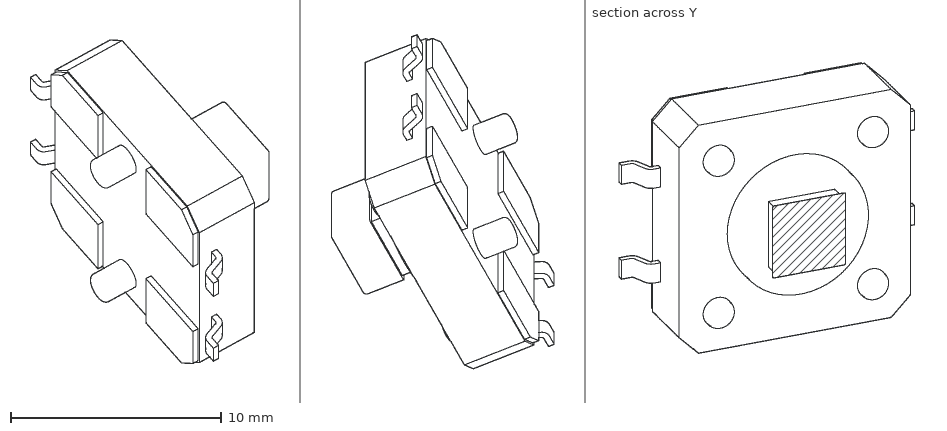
import cadquery as cq
import math


lead_span = 15.2

body_side = 12.0
body_depth = 3.19
body_corner_cut = 1.0

pad_inset = 0.1
pad_width = 3.9
pad_height = 3.4
pad_thickness = 0.3

peg_diameter = 1.5
peg_length = 1.7
peg_offset = 4.4
peg_edge_radius = 0.2

rivet_diameter = 1.5
rivet_height = 0.5
rivet_offset = 4.0
rivet_edge_radius = 0.3

collar_diameter = 7.0
collar_height = 0.8
collar_edge_radius = 0.1
stem_side = 3.44
stem_height = 0.9
cap_side = 3.8
cap_height = 2.1
cap_corner_radius = 0.1
cap_edge_radius = 0.2

lead_width = 1.0
lead_offset = 2.5
lead_thickness = pad_thickness
lead_rise = 1.0
lead_foot = 0.52
lead_inner_radius = 0.1
lead_slope = math.radians(68)

MIRROR_SIGNS = (-1, 1)


def facing_plus_y(y):
    """Workplane at height y whose local axes are X and -Z and whose normal is +Y."""
    return cq.Workplane("XZ", origin=(0, y, 0)).transformed(rotate=(180, 0, 0))


def facing_minus_y(y):
    """Workplane at height y whose local axes are X and Z and whose normal is -Y."""
    return cq.Workplane("XZ", origin=(0, y, 0))


def corner_points(x, z):
    return [(sx * x, sz * z) for sx in MIRROR_SIGNS for sz in MIRROR_SIGNS]


def make_body():
    return (
        facing_plus_y(0)
        .rect(body_side, body_side)
        .extrude(body_depth)
        .edges("|Y")
        .chamfer(body_corner_cut)
    )


def make_pads():
    outline_side = body_side - 2 * pad_inset
    outline_cut = body_corner_cut - pad_inset * (2 - math.sqrt(2))
    outline = (
        facing_minus_y(0)
        .rect(outline_side, outline_side)
        .extrude(pad_thickness)
        .edges("|Y")
        .chamfer(outline_cut)
    )
    centres = corner_points((outline_side - pad_width) / 2, (outline_side - pad_height) / 2)
    corners = facing_minus_y(0).pushPoints(centres).rect(pad_width, pad_height).extrude(pad_thickness)
    return outline.intersect(corners)


def make_pegs():
    return (
        facing_minus_y(0)
        .pushPoints([(0, sign * peg_offset) for sign in MIRROR_SIGNS])
        .circle(peg_diameter / 2)
        .extrude(peg_length)
        .faces("<Y")
        .edges()
        .fillet(peg_edge_radius)
    )


def make_rivets():
    return (
        facing_plus_y(body_depth)
        .pushPoints(corner_points(rivet_offset, rivet_offset))
        .circle(rivet_diameter / 2)
        .extrude(rivet_height)
        .faces(">Y")
        .edges()
        .fillet(rivet_edge_radius)
    )


def make_button():
    collar_top = body_depth + collar_height
    stem_top = collar_top + stem_height
    collar = (
        facing_plus_y(body_depth)
        .circle(collar_diameter / 2)
        .extrude(collar_height)
        .faces(">Y")
        .edges()
        .fillet(collar_edge_radius)
    )
    stem = facing_plus_y(collar_top).rect(stem_side, stem_side).extrude(stem_height)
    cap = (
        facing_plus_y(stem_top)
        .rect(cap_side, cap_side)
        .extrude(cap_height)
        .faces(">Y")
        .edges()
        .fillet(cap_edge_radius)
        .edges("|Y")
        .fillet(cap_corner_radius)
    )
    return collar.union(stem).union(cap)


def make_lead():
    """Lead on the +X side, centred on Z = 0."""
    tip_x = lead_span / 2
    root_x = body_side / 2
    foot_y = lead_thickness / 2 - pad_thickness
    bend_radius = lead_inner_radius + lead_thickness / 2
    slope_rise = lead_rise - 2 * bend_radius * (1 - math.cos(lead_slope))
    slope_run = slope_rise / math.tan(lead_slope)

    lower_start_x = tip_x - lead_foot
    upper_end_x = lower_start_x - 2 * bend_radius * math.sin(lead_slope) - slope_run
    lower_centre_y = foot_y + bend_radius
    upper_centre_y = foot_y + lead_rise - bend_radius

    def lower_bend(angle):
        return (
            lower_start_x - bend_radius * math.sin(angle),
            lower_centre_y - bend_radius * math.cos(angle),
        )

    def upper_bend(angle):
        return (
            upper_end_x + bend_radius * math.sin(angle),
            upper_centre_y + bend_radius * math.cos(angle),
        )

    centre_line = (
        cq.Workplane("XY")
        .moveTo(tip_x, foot_y)
        .lineTo(lower_start_x, foot_y)
        .threePointArc(lower_bend(lead_slope / 2), lower_bend(lead_slope))
        .lineTo(*upper_bend(lead_slope))
        .threePointArc(upper_bend(lead_slope / 2), upper_bend(0))
        .lineTo(root_x, foot_y + lead_rise)
    )
    return (
        cq.Workplane("YZ", origin=(tip_x, foot_y, 0))
        .rect(lead_thickness, lead_width)
        .sweep(centre_line)
    )


def make_leads():
    right_lead = make_lead()
    right_pair = right_lead.translate((0, 0, lead_offset)).union(right_lead.translate((0, 0, -lead_offset)))
    return right_pair.union(right_pair.mirror("YZ"))


result = (
    make_body()
    .union(make_pads())
    .union(make_pegs())
    .union(make_rivets())
    .union(make_button())
    .union(make_leads())
)